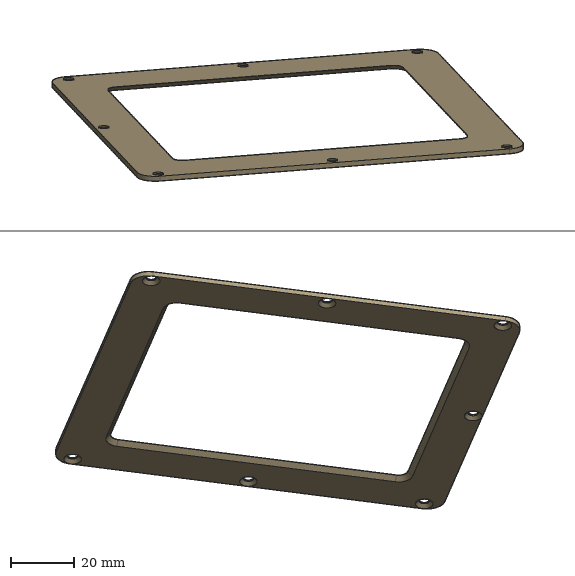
import cadquery as cq

plate_width = 113.9
plate_length = 126.6
thickness = 1.6
outer_corner_radius = 6.0

window_width = 83.8
window_length = 96.7
window_corner_radius = 3.0
window_lip = 0.1

hole_diameter = 3.3
hole_land = 0.5
edge_inset = 2.9
corner_hole_end_inset = 6.1

side_x = plate_width / 2 - edge_inset
corner_y = plate_length / 2 - corner_hole_end_inset
bottom_y = -plate_length / 2 + edge_inset


def rounded_plate(width, length, corner_radius):
    """Plate of the frame thickness, standing on the XY plane, with rounded corners."""
    plate = cq.Workplane("XY").box(width, length, thickness, centered=(True, True, False))
    return plate.edges("|Z").fillet(corner_radius)


frame = rounded_plate(plate_width, plate_length, outer_corner_radius)
window = rounded_plate(window_width, window_length, window_corner_radius)

hole_centers = [(x, y) for x in (-side_x, side_x) for y in (-corner_y, 0, corner_y)]
hole_centers.append((0, bottom_y))
holes = cq.Workplane("XY").pushPoints(hole_centers).circle(hole_diameter / 2).extrude(thickness)

result = frame.cut(window)
result = result.faces("<Z").wires(cq.selectors.LengthNthSelector(0)).chamfer(thickness - window_lip)
result = result.cut(holes)
hole_rims = result.faces("<Z").edges(cq.selectors.RadiusNthSelector(0))
result = hole_rims.chamfer(thickness - hole_land)